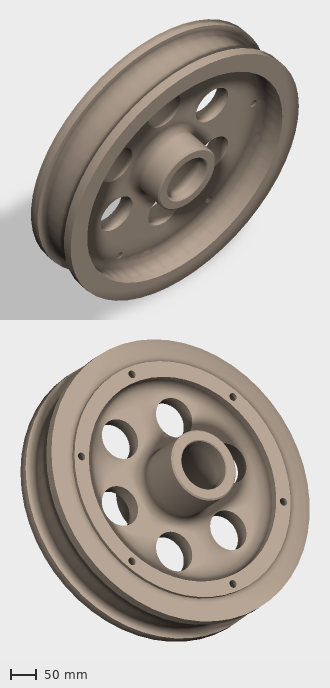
import cadquery as cq

overall_length = 219.31
wheel_diameter = 584.76

rim_width = 120.0
flange_width = 20.0
tread_radius = 273.5
tread_fillet = 8.0
cut_clearance = 1.0

pad_radius = 244.5
pad_height = 7.5

web_thickness = 33.0
web_face_depth = 25.0
front_recess_radius = 212.0
back_recess_radius = 250.0
web_fillet = 14.0

hub_radius = 73.0
hub_bore_radius = 50.0
hub_chamfer = 3.0
bore_chamfer = 2.0
hub_overhang = 8.0

hole_count = 6
web_hole_diameter = 82.0
web_hole_circle_radius = 141.5
web_hole_start_angle = 90.0
bolt_hole_diameter = 16.0
bolt_circle_radius = 228.5
bolt_start_angle = 0.0

wheel_radius = wheel_diameter / 2
rim_half_width = rim_width / 2
web_front_x = -rim_half_width + web_face_depth
web_back_x = web_front_x + web_thickness
pad_face_x = -rim_half_width - pad_height
hub_end_x = rim_half_width + hub_overhang
hub_start_x = hub_end_x - overall_length


def ring(x_start, x_end, outer_radius, inner_radius):
    """Ring around the X axis between two X positions."""
    return (
        cq.Workplane("YZ", origin=(x_start, 0, 0))
        .circle(outer_radius)
        .circle(inner_radius)
        .extrude(x_end - x_start)
    )


def make_solid_wheel():
    """Double-flanged wheel body with rounded groove corners and the raised pad, before recessing."""
    groove_half_width = rim_half_width - flange_width
    groove = ring(-groove_half_width, groove_half_width, wheel_radius + cut_clearance, tread_radius)
    groove = groove.edges(cq.selectors.RadiusNthSelector(0)).fillet(tread_fillet)
    rim = ring(-rim_half_width, rim_half_width, wheel_radius, hub_radius).cut(groove)
    return rim.union(ring(pad_face_x, -rim_half_width, pad_radius, hub_radius))


def make_hub():
    """Bored hub with chamfers on the outer and bore edges at both ends."""
    hub = ring(hub_start_x, hub_end_x, hub_radius, hub_bore_radius)
    hub = hub.faces("<X or >X").edges(cq.selectors.RadiusNthSelector(1)).chamfer(hub_chamfer)
    return hub.faces("<X or >X").edges(cq.selectors.RadiusNthSelector(0)).chamfer(bore_chamfer)


def web_recess(face_x, open_x, recess_radius):
    """Annular space beside the web, with rounded corners at the web face."""
    recess = ring(min(face_x, open_x), max(face_x, open_x), recess_radius, hub_radius)
    web_side = ">X" if face_x > open_x else "<X"
    return recess.faces(web_side).edges().fillet(web_fillet)


def hole_circle(diameter, circle_radius, start_angle):
    """Circle of holes parallel to the axis, passing through the full length."""
    return (
        cq.Workplane("YZ", origin=(hub_start_x, 0, 0))
        .polarArray(circle_radius, start_angle, 360, hole_count)
        .circle(diameter / 2)
        .extrude(overall_length)
    )


wheel = make_solid_wheel()
wheel = wheel.cut(web_recess(web_front_x, pad_face_x, front_recess_radius))
wheel = wheel.cut(web_recess(web_back_x, rim_half_width, back_recess_radius))

result = wheel.union(make_hub())
result = result.cut(hole_circle(web_hole_diameter, web_hole_circle_radius, web_hole_start_angle))
result = result.cut(hole_circle(bolt_hole_diameter, bolt_circle_radius, bolt_start_angle))